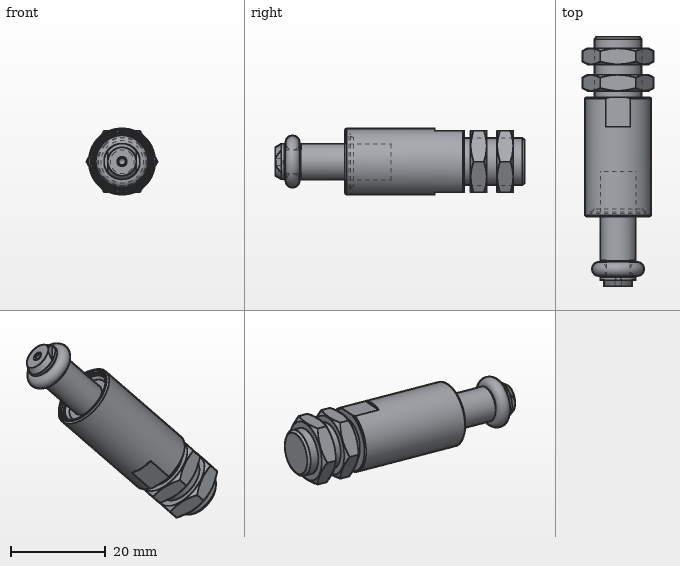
import cadquery as cq
import math

total_length = 52.7

body_diameter = 14.0
body_front = 14.7
body_rear = 39.9
body_front_chamfer = 0.35
body_rear_chamfer = 0.25
flat_width = 13.0
flat_length = 6.15
stud_diameter = 10.0
stud_chamfer = 0.55

recess_diameter = 12.0
recess_mouth_chamfer = 0.25
mouth_bore_depth = 0.8
seat_diameter = 11.6
seat_depth = 1.1
inner_bore_diameter = 10.35
recess_depth = seat_depth + (seat_diameter - inner_bore_diameter) / 2

rod_diameter = 7.6
rod_insertion = 7.9
tip_length = 1.3
tip_diameter = 5.95
groove_diameter = 5.0
groove_front = 1.95
groove_width = 3.5
center_hole_diameter = 1.5
center_hole_depth = 1.6
center_hole_chamfer = 0.25
drill_point_angle = 118.0

ring_section = 3.0

nut_across_flats = 13.0
nut_thickness = 3.5
nut_bevel_diameter = 12.75
nut_bevel_angle = 30.0
nut_fronts = (41.2, 46.8)


def cylinder(diameter, start, end):
    """Cylinder on the Y axis from Y = start to Y = end."""
    return cq.Workplane("XZ", origin=(0, start, 0)).circle(diameter / 2).extrude(start - end)


def revolve_about_y(profile):
    """Revolve a closed XY profile fully around the Y axis."""
    return profile.close().revolve(360, (0, 0, 0), (0, 1, 0))


def make_recess():
    """Volume removed by the stepped recess; its shoulder is a convex quarter round."""
    mouth_radius = recess_diameter / 2
    seat_radius = seat_diameter / 2
    inner_radius = inner_bore_diameter / 2
    shoulder_radius = seat_radius - inner_radius
    seat = body_front + seat_depth
    floor = body_front + recess_depth
    shoulder_middle = (
        seat_radius - shoulder_radius * math.sin(math.radians(45)),
        seat + shoulder_radius * (1 - math.cos(math.radians(45))),
    )
    return revolve_about_y(
        cq.Workplane("XY")
        .moveTo(0, body_front)
        .lineTo(mouth_radius + recess_mouth_chamfer, body_front)
        .lineTo(mouth_radius, body_front + recess_mouth_chamfer)
        .lineTo(mouth_radius, body_front + mouth_bore_depth)
        .lineTo(seat_radius, seat)
        .threePointArc(shoulder_middle, (inner_radius, floor))
        .lineTo(0, floor)
    )


def make_housing():
    body = cylinder(body_diameter, body_front, body_rear)
    body = body.faces("<Y").chamfer(body_front_chamfer)
    body = body.faces(">Y").chamfer(body_rear_chamfer)

    flat_zone = cq.Workplane("XY").box(body_diameter, flat_length, flat_width)
    flat_zone = flat_zone.translate((0, body_rear - flat_length / 2, 0))
    front_zone = cylinder(body_diameter, body_front, body_rear - flat_length)
    body = body.intersect(front_zone.union(flat_zone))

    stud = cylinder(stud_diameter, body_rear, total_length).faces(">Y").chamfer(stud_chamfer)
    rod_socket = cylinder(rod_diameter, body_front, body_front + recess_depth + rod_insertion)
    return body.union(stud).cut(make_recess()).cut(rod_socket)


def make_plunger():
    rod_radius = rod_diameter / 2
    groove_radius = groove_diameter / 2
    groove_rear = groove_front + groove_width
    rod_end = body_front + recess_depth + rod_insertion
    rod = revolve_about_y(
        cq.Workplane("XY")
        .moveTo(0, 0)
        .lineTo(tip_diameter / 2, 0)
        .lineTo(rod_radius, tip_length)
        .lineTo(rod_radius, groove_front)
        .lineTo(groove_radius, groove_front)
        .lineTo(groove_radius, groove_rear)
        .lineTo(rod_radius, groove_rear)
        .lineTo(rod_radius, rod_end)
        .lineTo(0, rod_end)
    )

    tip_zone = cq.Workplane("XY").box(tip_diameter, tip_length, rod_diameter)
    tip_zone = tip_zone.translate((0, tip_length / 2, 0))
    rod = rod.intersect(tip_zone.union(cylinder(rod_diameter, tip_length, rod_end)))

    hole_radius = center_hole_diameter / 2
    point_depth = hole_radius / math.tan(math.radians(drill_point_angle / 2))
    center_hole = revolve_about_y(
        cq.Workplane("XY")
        .moveTo(0, 0)
        .lineTo(hole_radius + center_hole_chamfer, 0)
        .lineTo(hole_radius, center_hole_chamfer)
        .lineTo(hole_radius, center_hole_depth)
        .lineTo(0, center_hole_depth + point_depth)
    )
    return rod.cut(center_hole)


def make_sealing_ring():
    ring_center_radius = (groove_diameter + ring_section) / 2
    ring_center = groove_front + groove_width / 2
    section = cq.Workplane("XY").center(ring_center_radius, ring_center).circle(ring_section / 2)
    return section.revolve(360, (-ring_center_radius, 0, 0), (-ring_center_radius, 1, 0))


def make_nut(front):
    """Hexagon nut with two opposite corners on the X axis and both faces beveled."""
    corner_diameter = nut_across_flats / math.cos(math.radians(30))
    rear = front + nut_thickness
    hexagon = (
        cq.Workplane("XZ", origin=(0, front, 0))
        .polygon(6, corner_diameter)
        .extrude(-nut_thickness)
    )
    face_radius = nut_bevel_diameter / 2
    corner_radius = corner_diameter / 2
    bevel_length = (corner_radius - face_radius) * math.tan(math.radians(nut_bevel_angle))
    bevel_envelope = revolve_about_y(
        cq.Workplane("XY")
        .moveTo(0, front)
        .lineTo(face_radius, front)
        .lineTo(corner_radius, front + bevel_length)
        .lineTo(corner_radius, rear - bevel_length)
        .lineTo(face_radius, rear)
        .lineTo(0, rear)
    )
    return hexagon.intersect(bevel_envelope).cut(cylinder(stud_diameter, front, rear))


housing = make_housing()
plunger = make_plunger()
sealing_ring = make_sealing_ring()
nuts = [make_nut(front).val() for front in nut_fronts]

result = cq.Compound.makeCompound([housing.val(), plunger.val(), sealing_ring.val(), *nuts])